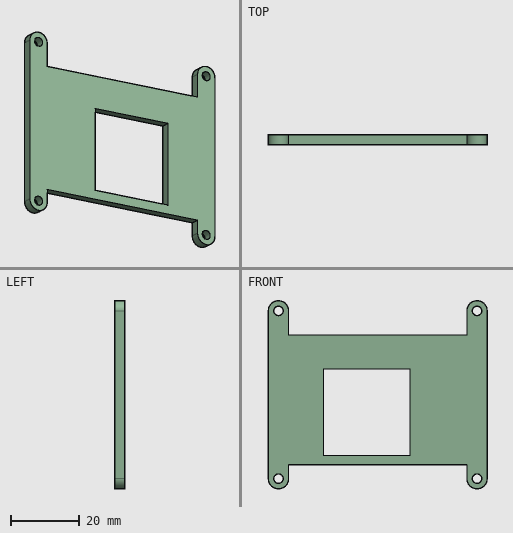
import cadquery as cq

width = 64.0
height = 55.0
thickness = 3.0
strip_width = 6.0
hole_diameter = 2.7

web_top = 17.5
web_height = 38.0

window_size = 25.2
window_center_x = -3.2
window_center_z = -5.1

hole_spacing_x = width - strip_width
hole_spacing_z = height - strip_width
web_center_z = web_top - web_height / 2


def front_plane():
    """XZ plane on the front face; extruding by -thickness runs toward +Y."""
    return cq.Workplane("XZ", origin=(0, -thickness / 2, 0))


def side_strip(center_x):
    """Vertical strip with fully rounded ends."""
    return front_plane().center(center_x, 0).slot2D(height, strip_width, 90).extrude(-thickness)


def web():
    """Plate joining the centre lines of the two strips."""
    return front_plane().center(0, web_center_z).rect(hole_spacing_x, web_height).extrude(-thickness)


def window():
    """Square opening through the web."""
    return (
        front_plane()
        .center(window_center_x, window_center_z)
        .rect(window_size, window_size)
        .extrude(-thickness)
    )


def mounting_holes():
    """Four through holes, concentric with the rounded strip ends."""
    return (
        front_plane()
        .rect(hole_spacing_x, hole_spacing_z, forConstruction=True)
        .vertices()
        .circle(hole_diameter / 2)
        .extrude(-thickness)
    )


plate = web()
for side in (-1, 1):
    plate = plate.union(side_strip(side * hole_spacing_x / 2))

result = plate.cut(window()).cut(mounting_holes()).clean()